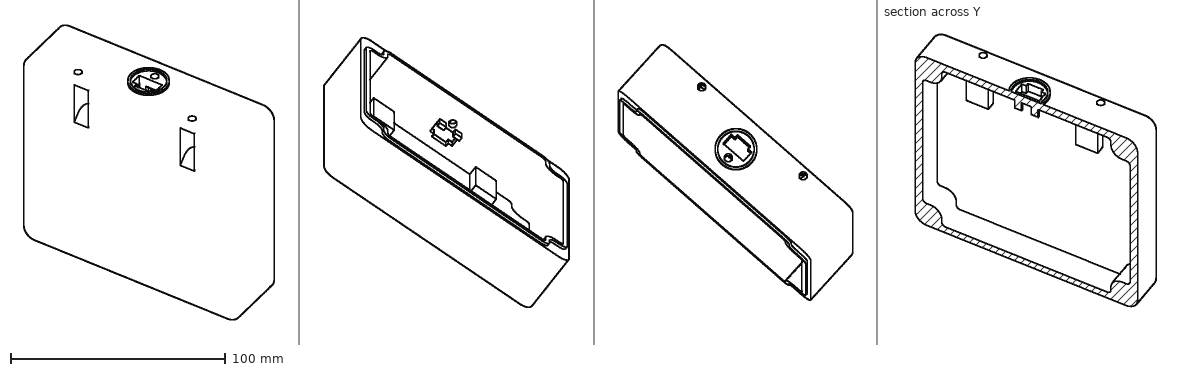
import cadquery as cq


width = 120.4
overall_depth = 31.75
overall_height = 109.47
lip_height = 1.27
boss_height = 1.016
body_depth = overall_depth - lip_height
body_height = overall_height - boss_height
corner_radius = 6.5
front_edge_radius = 1.6
front_wall = 4.9

lip_side_inset = 2.0
lip_top_inset = 2.55
lip_bottom_inset = 1.75
lip_thickness = 2.35
notch_size = 10.3
lip_outer_radius = 4.2
lip_inner_radius = 3.9
selection_margin = 1.0
top_wall = lip_top_inset + lip_thickness

boss_diameter = 19.46
recess_diameter = 17.02
boss_center_y = 15.4
latch_hole_diameter = 3.79
latch_hole_offset = 5.35
jack_width = 12.7
jack_key_width = 8.1
jack_back = 1.85
jack_shoulder = -3.87
jack_front = -5.6
jack_tab_width = 3.7
jack_tab_thickness = 2.0
jack_tab_length = 5.0

slot_diameter = 7.87
slot_axis_depth = 3.6
slot_depth = slot_axis_depth + slot_diameter / 2
slot_center_xs = (-27.4, 31.6)
slot_top_z = body_height - top_wall
slot_length = 22.3
slot_bottom_z = slot_top_z - slot_length
slot_housing_wall = 2.0
screw_hole_diameter = 3.76
screw_hole_x = 31.75
screw_hole_y = 3.9


def box(x_min, x_max, y_min, y_max, z_min, z_max):
    size = (x_max - x_min, y_max - y_min, z_max - z_min)
    return cq.Workplane("XY").box(*size, centered=False).translate((x_min, y_min, z_min))


def top_plane(y):
    """Plane of the top face with its origin at depth y on the X centre line."""
    return cq.Workplane("XY", origin=(0, y, body_height))


def make_body():
    """Solid block with rounded corners and a rounded front edge."""
    shell = box(-width / 2, width / 2, 0, body_depth, 0, body_height)
    return shell.edges("|Y").fillet(corner_radius).faces("<Y").edges().fillet(front_edge_radius)


def notched_prism(inset, y_min, y_max):
    """Block with its four corners notched, offset inward from the outside of the lip."""
    half_width = width / 2 - lip_side_inset - inset
    z_min = lip_bottom_inset + inset
    z_max = body_height - lip_top_inset - inset
    convex_radius = lip_outer_radius - inset
    concave_radius = lip_inner_radius + inset
    wide = box(-half_width, half_width, y_min, y_max, z_min + notch_size, z_max - notch_size)
    inner_half = half_width - notch_size
    tall = box(-inner_half, inner_half, y_min, y_max, z_min, z_max)
    block = wide.union(tall)
    inner_corners = cq.selectors.BoxSelector(
        (-inner_half - selection_margin, y_min - selection_margin, z_min + notch_size - selection_margin),
        (inner_half + selection_margin, y_max + selection_margin, z_max - notch_size + selection_margin),
    )
    outer_corners = block.edges("|Y").edges(cq.selectors.InverseSelector(inner_corners))
    rounded = outer_corners.fillet(convex_radius)
    return rounded.edges("|Y").edges(inner_corners).fillet(concave_radius)


def make_lip():
    return notched_prism(0, body_depth, overall_depth)


def make_cavity():
    return notched_prism(lip_thickness, front_wall, overall_depth)


def make_slot_housing(x):
    """Block inside the cavity that encloses a slot deeper than the front wall."""
    half_width = slot_diameter / 2 + slot_housing_wall
    return box(
        x - half_width,
        x + half_width,
        front_wall,
        slot_depth + slot_housing_wall,
        slot_bottom_z,
        slot_top_z,
    )


def make_slot(x):
    """Round-backed vertical slot whose lower end is a 45 degree ramp up to the front face."""
    radius = slot_diameter / 2
    groove = (
        cq.Workplane("XY", origin=(x, 0, slot_bottom_z))
        .moveTo(-radius, 0)
        .lineTo(-radius, slot_axis_depth)
        .threePointArc((0, slot_depth), (radius, slot_axis_depth))
        .lineTo(radius, 0)
        .close()
        .extrude(slot_length)
    )
    ramp = (
        cq.Workplane("YZ", origin=(x, 0, slot_bottom_z))
        .polyline([(0, 0), (slot_depth, 0), (slot_depth, slot_depth)])
        .close()
        .extrude(radius, both=True)
    )
    return groove.cut(ramp)


def make_connector_boss():
    """Raised ring whose recess floor is level with the top face."""
    boss = top_plane(boss_center_y).circle(boss_diameter / 2).extrude(boss_height)
    return boss.cut(top_plane(boss_center_y).circle(recess_diameter / 2).extrude(boss_height))


def make_connector_openings():
    """Jack opening and latch hole through the top wall."""
    jack_half = jack_width / 2
    key_half = jack_key_width / 2
    jack = (
        top_plane(boss_center_y)
        .polyline([
            (-jack_half, jack_back),
            (jack_half, jack_back),
            (jack_half, jack_shoulder),
            (key_half, jack_shoulder),
            (key_half, jack_front),
            (-key_half, jack_front),
            (-key_half, jack_shoulder),
            (-jack_half, jack_shoulder),
        ])
        .close()
        .extrude(-top_wall)
    )
    latch_hole = (
        top_plane(boss_center_y + latch_hole_offset)
        .circle(latch_hole_diameter / 2)
        .extrude(-top_wall)
    )
    return jack.union(latch_hole)


def make_jack_tab(x_min):
    """Tab hanging inside the top wall, flush with the back side of the jack opening."""
    y_min = boss_center_y + jack_back
    z_max = body_height - top_wall
    return box(
        x_min,
        x_min + jack_tab_width,
        y_min,
        y_min + jack_tab_thickness,
        z_max - jack_tab_length,
        z_max,
    )


def make_screw_holes():
    return (
        top_plane(screw_hole_y)
        .pushPoints([(-screw_hole_x, 0), (screw_hole_x, 0)])
        .circle(screw_hole_diameter / 2)
        .extrude(-top_wall)
    )


slot_housings = [make_slot_housing(x) for x in slot_center_xs]
slots = [make_slot(x) for x in slot_center_xs]
jack_tabs = [make_jack_tab(x) for x in (-jack_width / 2, jack_width / 2 - jack_tab_width)]

result = make_body().union(make_lip()).cut(make_cavity())
for addition in slot_housings + jack_tabs + [make_connector_boss()]:
    result = result.union(addition)
for removal in slots + [make_connector_openings(), make_screw_holes()]:
    result = result.cut(removal)